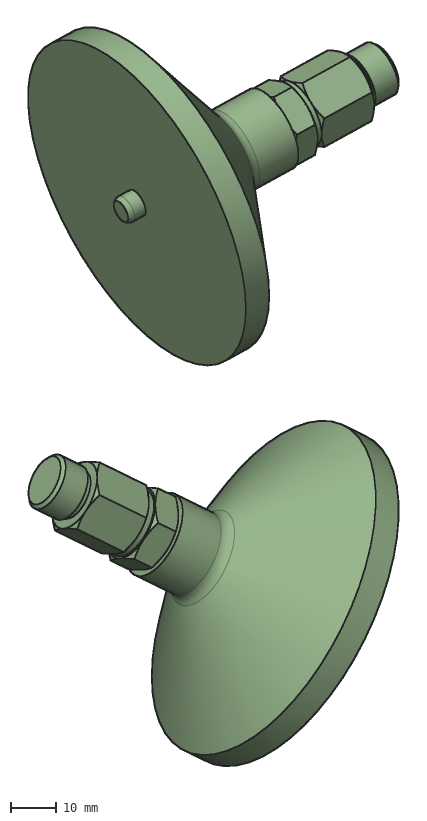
import cadquery as cq
import math

disc_diameter = 80
disc_thickness = 6.5
cone_end = 24.6
collar_diameter = 20
collar_end = 37.1
cone_fillet = 3.0

nut_flats = 17.0
nut_length = 6.5
middle_neck_diameter = 16
middle_neck_length = 1.4

body_flats = 16
body_length = 14.6
hex_chamfer_angle = 30

groove_diameter = 11.4
groove_length = 1.4
head_diameter = 13.1
head_length = 7.0
head_chamfer = 0.8

pin_diameter = 6.5
pin_length = 4.4
pin_tip_diameter = 5.3
pin_tip_length = 1.3

nut_end = collar_end + nut_length
body_start = nut_end + middle_neck_length
body_end = body_start + body_length
head_start = body_end + groove_length


def revolve_about_y(profile):
    return profile.close().revolve(360, (0, 0, 0), (0, 1, 0))


def cylinder(diameter, start, length):
    plane = cq.Plane(origin=(0, start, 0), xDir=(1, 0, 0), normal=(0, 1, 0))
    return cq.Workplane(plane).circle(diameter / 2).extrude(length)


def flared_base():
    """Disc and cone running through a fillet into the collar."""
    base = revolve_about_y(
        cq.Workplane("XY")
        .lineTo(disc_diameter / 2, 0)
        .lineTo(disc_diameter / 2, disc_thickness)
        .lineTo(collar_diameter / 2, cone_end)
        .lineTo(collar_diameter / 2, collar_end)
        .lineTo(0, collar_end)
    )
    collar_root = cq.selectors.NearestToPointSelector((0, cone_end, 0))
    return base.edges("%CIRCLE").edges(collar_root).fillet(cone_fillet)


def hexagon(flats, start, length):
    """Hexagonal prism with flats facing +X and -X and corners turned off at both ends."""
    corner_diameter = flats / math.cos(math.pi / 6)
    plane = cq.Plane(origin=(0, start, 0), xDir=(0, 0, 1), normal=(0, 1, 0))
    prism = cq.Workplane(plane).polygon(6, corner_diameter).extrude(length)
    corner_depth = (corner_diameter - flats) / 2 * math.tan(math.radians(hex_chamfer_angle))
    turned = (
        cylinder(corner_diameter, start, length)
        .faces("<Y or >Y")
        .chamfer(corner_depth, (corner_diameter - flats) / 2)
    )
    return prism.intersect(turned)


def head():
    return cylinder(head_diameter, head_start, head_length).faces(">Y").chamfer(head_chamfer)


def pin():
    """Pin reaching forward from the disc, its tip narrowed by a convex arc."""
    radius = pin_diameter / 2
    tip_radius = pin_tip_diameter / 2
    return revolve_about_y(
        cq.Workplane("XY")
        .lineTo(radius, 0)
        .lineTo(radius, pin_tip_length - pin_length)
        .tangentArcPoint((tip_radius, -pin_length), relative=False)
        .lineTo(0, -pin_length)
    )


result = (
    flared_base()
    .union(hexagon(nut_flats, collar_end, nut_length))
    .union(cylinder(middle_neck_diameter, nut_end, middle_neck_length))
    .union(hexagon(body_flats, body_start, body_length))
    .union(cylinder(groove_diameter, body_end, groove_length))
    .union(head())
    .union(pin())
)